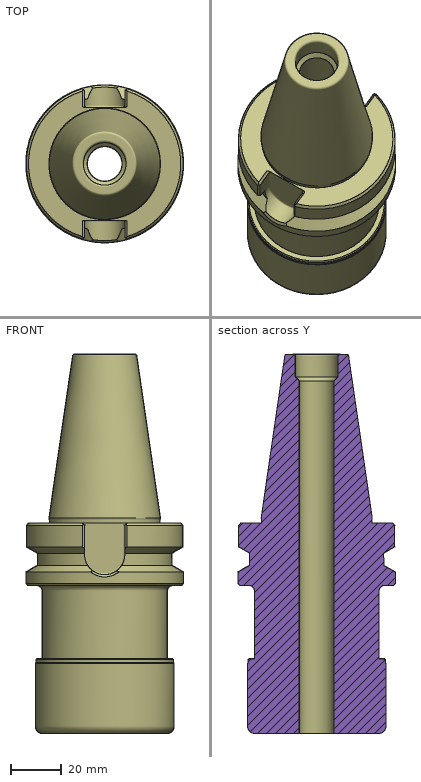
import cadquery as cq
import math

total_length = 151.4
nut_top = 30.0
flange_bottom = 59.0
flange_top = 84.0
gauge_line = 86.0

nut_diameter = 55.4
nut_bottom_round = 3.0
collar_diameter = 55.0
collar_bottom = 28.3
collar_chamfer = 0.5

body_diameter = 50.0
body_top_round = 2.1

lower_rim_diameter = 63.0
upper_rim_diameter = 62.5
neck_diameter = 53.7
lower_rim_top = 64.5
upper_rim_bottom = 74.5
v_flank_angle = math.radians(30)
edge_chamfer = 0.9

gauge_diameter = 44.5
taper_ratio = 7 / 24
relief_diameter = 44.2
relief_height = 1.0

end_face_round = 0.9

bore_diameter = 13.8
counterbore_diameter = 17.0
counterbore_depth = 9.1

slot_width = 16.0
slot_floor_offset = 22.5
slot_bottom = 63.5
slot_floor_round = 0.6


def revolved_body():
    """Outer shape of the holder, turned about the Z axis."""
    nut_r = nut_diameter / 2
    collar_r = collar_diameter / 2
    body_r = body_diameter / 2
    lower_r = lower_rim_diameter / 2
    upper_r = upper_rim_diameter / 2
    neck_r = neck_diameter / 2
    gauge_r = gauge_diameter / 2
    relief_r = relief_diameter / 2
    top_r = gauge_r - (total_length - gauge_line) * taper_ratio / 2
    lower_flank = (lower_r - neck_r) * math.tan(v_flank_angle)
    upper_flank = (upper_r - neck_r) * math.tan(v_flank_angle)
    diagonal = math.sqrt(0.5)

    profile = (
        cq.Workplane("XZ")
        .lineTo(nut_r - nut_bottom_round, 0)
        .threePointArc(
            (nut_r - nut_bottom_round * (1 - diagonal), nut_bottom_round * (1 - diagonal)),
            (nut_r, nut_bottom_round),
        )
        .lineTo(nut_r, collar_bottom - (nut_r - collar_r))
        .lineTo(collar_r, collar_bottom)
        .lineTo(collar_r, nut_top - collar_chamfer)
        .lineTo(collar_r - collar_chamfer, nut_top)
        .lineTo(body_r, nut_top)
        .lineTo(body_r, flange_bottom - body_top_round)
        .threePointArc(
            (
                body_r + body_top_round * (1 - diagonal),
                flange_bottom - body_top_round * (1 - diagonal),
            ),
            (body_r + body_top_round, flange_bottom),
        )
        .lineTo(lower_r - edge_chamfer, flange_bottom)
        .lineTo(lower_r, flange_bottom + edge_chamfer)
        .lineTo(lower_r, lower_rim_top)
        .lineTo(neck_r, lower_rim_top + lower_flank)
        .lineTo(neck_r, upper_rim_bottom - upper_flank)
        .lineTo(upper_r, upper_rim_bottom)
        .lineTo(upper_r, flange_top - edge_chamfer)
        .lineTo(upper_r - edge_chamfer, flange_top)
        .lineTo(relief_r, flange_top)
        .lineTo(relief_r, flange_top + relief_height)
        .lineTo(gauge_r, gauge_line)
        .lineTo(top_r, total_length)
        .lineTo(0, total_length)
        .close()
    )
    return profile.revolve(360, (0, 0, 0), (0, 1, 0))


def bore():
    """Through bore with a counterbore that narrows into it through a 45 degree cone."""
    bore_r = bore_diameter / 2
    counterbore_r = counterbore_diameter / 2
    cone_top = total_length - counterbore_depth
    return (
        cq.Workplane("XZ")
        .lineTo(bore_r, 0)
        .lineTo(bore_r, cone_top - (counterbore_r - bore_r))
        .lineTo(counterbore_r, cone_top)
        .lineTo(counterbore_r, total_length)
        .lineTo(0, total_length)
        .close()
        .revolve(360, (0, 0, 0), (0, 1, 0))
    )


def drive_slot():
    """Cutter for the slot on the -Y side: round lower end, flat floor, flared at the flange top."""
    half = slot_width / 2
    arc_center = slot_bottom + half
    cutter = (
        cq.Workplane("XZ", origin=(0, -slot_floor_offset, 0))
        .moveTo(-half - edge_chamfer, total_length)
        .lineTo(-half - edge_chamfer, flange_top)
        .lineTo(-half, flange_top - edge_chamfer)
        .lineTo(-half, arc_center)
        .threePointArc((0, slot_bottom), (half, arc_center))
        .lineTo(half, flange_top - edge_chamfer)
        .lineTo(half + edge_chamfer, flange_top)
        .lineTo(half + edge_chamfer, total_length)
        .close()
        .extrude(lower_rim_diameter)
    )
    return cutter.faces(">Y").edges().fillet(slot_floor_round)


def slot_mouth_edges(body):
    """Edges where the slot walls and round slot ends run out through the two flange rims."""
    outer_reach = lower_rim_diameter / 2
    inner_reach = (neck_diameter + upper_rim_diameter) / 4
    side_reach = (slot_width + edge_chamfer) / 2
    upper_walls = (upper_rim_bottom, flange_top - edge_chamfer)
    slot_ends = (slot_bottom, lower_rim_top)
    edges = []
    for low, high in (upper_walls, slot_ends):
        for near, far in ((-outer_reach, -inner_reach), (inner_reach, outer_reach)):
            region = cq.selectors.BoxSelector((-side_reach, near, low), (side_reach, far, high))
            edges += body.edges(region).vals()
    return edges


result = revolved_body().cut(bore())
result = result.faces(">Z").edges().fillet(end_face_round)
for angle in (0, 180):
    result = result.cut(drive_slot().rotate((0, 0, 0), (0, 0, 1), angle))
result = result.newObject(slot_mouth_edges(result)).chamfer(edge_chamfer)